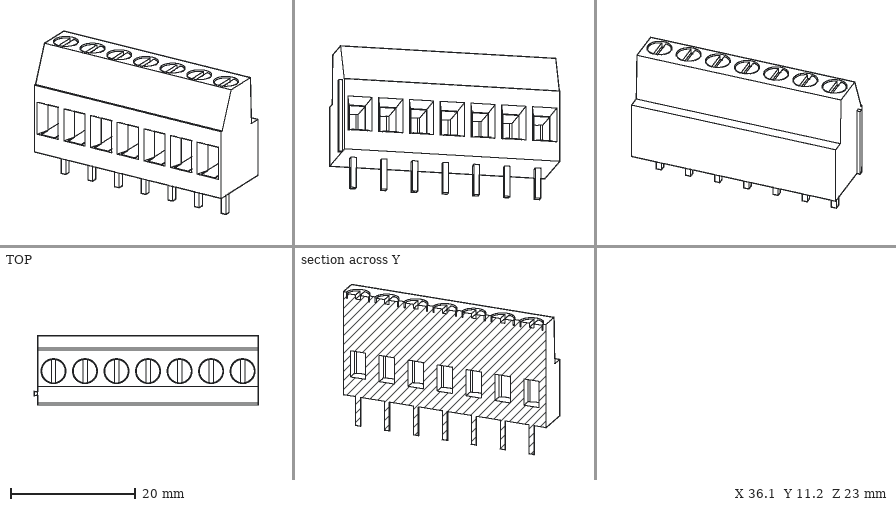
import cadquery as cq
import math

pole_count = 7
overall_length = 36.13
rail_projection = 0.58
housing_length = overall_length - rail_projection
pitch = housing_length / pole_count
housing_depth = 11.2
housing_height = 18.0

lip_height = 11.75
lip_width = 0.33
top_front_y = 3.05
top_rear_y = 8.92
ledge_front_y = 9.2
ledge_height = 9.83

rail_height = 11.95
rail_center_y = 1.88
rail_outer_width = 0.75
rail_root_width = 0.55

entry_width = 4.0
entry_bottom = 3.25
entry_top = 8.85
funnel_depth = 2.15
funnel_end_width = 2.7
funnel_end_top = 7.95
throat_width = 2.6
throat_bottom = 3.35
throat_top = 7.85
sill_setback = 0.05
groove_width = 1.88
groove_radius = 2.0

screw_y = 5.5
well_diameter = 4.0
screw_diameter = 3.8
well_depth = 1.1
screw_recess = 0.2
slot_width = 0.72
slot_depth = 0.72

pin_width = 0.9
pin_thickness = 1.0
pin_length = 5.02
pin_y = 5.27

pole_positions = [(pole + 0.5) * pitch for pole in range(pole_count)]


def box_between(x_range, y_range, z_range):
    """Axis-aligned box spanning the given (low, high) pairs."""
    spans = (x_range, y_range, z_range)
    sizes = [high - low for low, high in spans]
    corner = tuple(low for low, high in spans)
    return cq.Workplane("XY").box(*sizes, centered=False).translate(corner)


def centered_range(center, width):
    return (center - width / 2, center + width / 2)


def make_housing():
    side_outline = [
        (0, 0),
        (housing_depth, 0),
        (housing_depth, ledge_height),
        (ledge_front_y, ledge_height),
        (top_rear_y, housing_height),
        (top_front_y, housing_height),
        (lip_width, lip_height),
        (0, lip_height),
    ]
    return cq.Workplane("YZ").polyline(side_outline).close().extrude(housing_length)


def make_rail():
    root = rail_root_width / 2
    outer = rail_outer_width / 2
    plan = [
        (0, rail_center_y - root),
        (0, rail_center_y + root),
        (-rail_projection, rail_center_y + outer),
        (-rail_projection, rail_center_y - outer),
    ]
    return cq.Workplane("XY").polyline(plan).close().extrude(rail_height)


def make_funnel(x):
    plan = [
        (x - entry_width / 2, 0),
        (x + entry_width / 2, 0),
        (x + funnel_end_width / 2, funnel_depth),
        (x - funnel_end_width / 2, funnel_depth),
    ]
    profile = [
        (0, entry_bottom),
        (0, entry_top),
        (funnel_depth, funnel_end_top),
        (funnel_depth, entry_bottom),
    ]
    tapered_sides = cq.Workplane("XY").polyline(plan).close().extrude(housing_height)
    sloped_top = cq.Workplane("YZ").polyline(profile).close().extrude(housing_length)
    sill = box_between(
        centered_range(x, throat_width), (sill_setback, funnel_depth), (entry_bottom, throat_bottom)
    )
    return tapered_sides.intersect(sloped_top).cut(sill)


def make_throat(x):
    """Straight passage behind the funnel, its rear groove being an arc about the screw axis."""
    half_width = throat_width / 2
    half_groove = groove_width / 2
    rear_y = screw_y + math.sqrt(groove_radius**2 - half_groove**2)
    return (
        cq.Workplane("XY", origin=(x, 0, throat_bottom))
        .moveTo(-half_width, funnel_depth)
        .lineTo(half_width, funnel_depth)
        .lineTo(half_width, rear_y)
        .lineTo(half_groove, rear_y)
        .threePointArc((0, screw_y + groove_radius), (-half_groove, rear_y))
        .lineTo(-half_width, rear_y)
        .close()
        .extrude(throat_top - throat_bottom)
    )


def make_screw_recess(x):
    """Space around and above a slotted screw that sits just below the top face."""
    screw_top = housing_height - screw_recess
    floor = cq.Workplane("XY", origin=(x, screw_y, housing_height - well_depth))
    well = floor.circle(well_diameter / 2).extrude(well_depth)
    screw = floor.circle(screw_diameter / 2).extrude(well_depth - screw_recess)
    slot = box_between(
        centered_range(x, slot_width),
        centered_range(screw_y, screw_diameter),
        (screw_top - slot_depth, screw_top),
    )
    return well.cut(screw.cut(slot))


def make_pin(x):
    return box_between(
        centered_range(x, pin_width), centered_range(pin_y, pin_thickness), (-pin_length, 0)
    )


result = make_housing().union(make_rail())
for pole_x in pole_positions:
    result = result.cut(make_funnel(pole_x))
    result = result.cut(make_throat(pole_x))
    result = result.cut(make_screw_recess(pole_x))
    result = result.union(make_pin(pole_x))